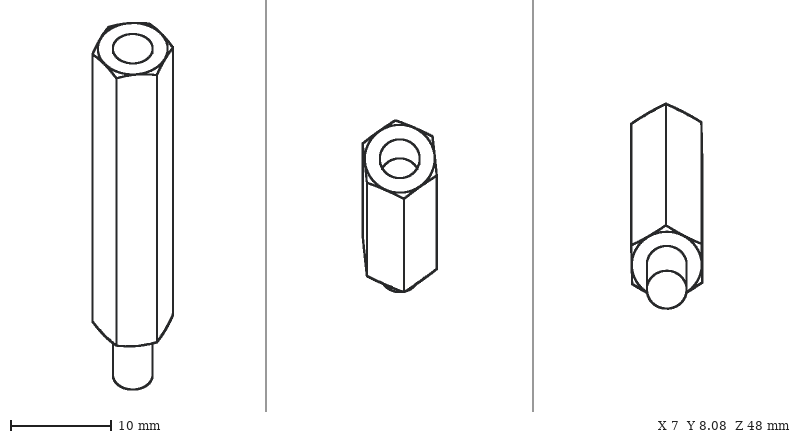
import cadquery as cq
import math

total_length = 48.0
stud_length = 8.0
across_flats = 7.0
thread_diameter = 4.0
face_diameter = 6.95
chamfer_angle = 30.0
bore_depth = stud_length

body_length = total_length - stud_length
across_corners = across_flats / math.cos(math.radians(30))
corner_radius = across_corners / 2
face_radius = face_diameter / 2
chamfer_height = (corner_radius - face_radius) * math.tan(math.radians(chamfer_angle))


def chamfer_envelope():
    """Cylinder with conical ends that trims the hexagon's corners."""
    return (
        cq.Workplane("XZ")
        .moveTo(0, stud_length)
        .lineTo(face_radius, stud_length)
        .lineTo(corner_radius, stud_length + chamfer_height)
        .lineTo(corner_radius, total_length - chamfer_height)
        .lineTo(face_radius, total_length)
        .lineTo(0, total_length)
        .close()
        .revolve(360, (0, 0, 0), (0, 1, 0))
    )


def make_hex_body():
    """Hexagonal spacer with corners on the Y axis and a blind bore in its top."""
    hexagon = (
        cq.Workplane("XY")
        .workplane(offset=stud_length)
        .transformed(rotate=(0, 0, 90))
        .polygon(6, across_corners)
        .extrude(body_length)
    )
    bore = (
        cq.Workplane("XY")
        .workplane(offset=total_length - bore_depth)
        .circle(thread_diameter / 2)
        .extrude(bore_depth)
    )
    return hexagon.intersect(chamfer_envelope()).cut(bore)


def make_stud():
    """Plain round stud that meets the bottom face of the hexagonal body."""
    return cq.Workplane("XY").circle(thread_diameter / 2).extrude(stud_length)


hex_body = make_hex_body()
stud = make_stud()

result = cq.Compound.makeCompound([hex_body.val(), stud.val()])